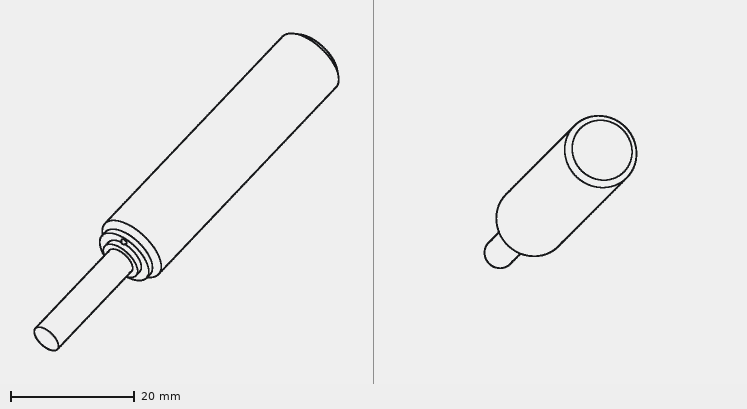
import cadquery as cq

total_length = 72.0
body_diameter = 12.0
neck_diameter = 10.0
collar_diameter = 7.0
cable_diameter = 5.0

cable_length = 20.0
collar_length = 1.0
neck_length = 1.0
chamfer = (body_diameter - neck_diameter) / 2

dome_radius = 0.5
dome_height = 4.1

cable_start = -total_length / 2
collar_start = cable_start + cable_length
neck_start = collar_start + collar_length
body_start = neck_start + neck_length
body_end = total_length / 2


def cylinder(diameter, start, end):
    """Solid cylinder on the Y axis between two Y positions."""
    base = cq.Workplane("XZ", origin=(0, start, 0))
    return base.circle(diameter / 2).extrude(start - end)


def make_body():
    """Main barrel, chamfered at both ends."""
    return cylinder(body_diameter, body_start, body_end).faces("<Y or >Y").chamfer(chamfer)


def make_dome():
    """Ball sunk halfway into the neck face."""
    return cq.Workplane("XY").sphere(dome_radius).translate((0, neck_start, dome_height))


result = (
    make_body()
    .union(cylinder(neck_diameter, neck_start, body_start))
    .union(cylinder(collar_diameter, collar_start, neck_start))
    .union(cylinder(cable_diameter, cable_start, collar_start))
    .union(make_dome())
)